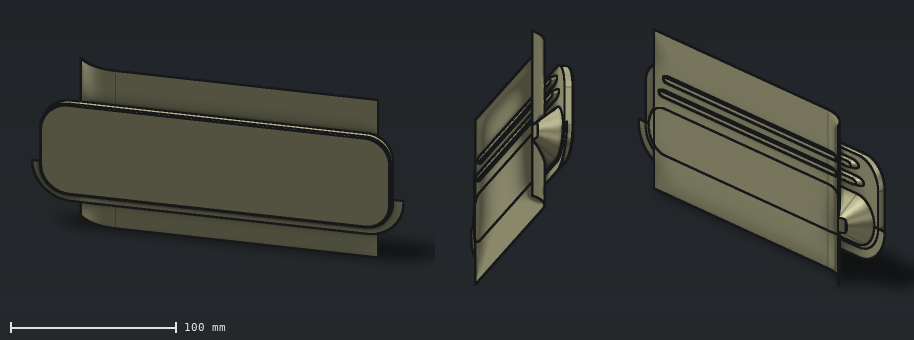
import cadquery as cq
import math

PLATE_LENGTH = 220.0
PLATE_HEIGHT = 60.0
PLATE_THICKNESS = 6.0
LEFT_CORNER_RADIUS = 18.0
RIGHT_CORNER_RADIUS = 16.0
PLATE_EDGE_CHAMFER = 1.0

SKIN = 0.2
FLANGE_OFFSET = 6.4
FLANGE_TOP_Z = LEFT_CORNER_RADIUS - PLATE_HEIGHT / 2

SHEET_LEFT_X = -90.0
SHEET_RIGHT_X = 100.0
SHEET_HEIGHT = 104.0
SHEET_FLAT_Y = 1.6
SHEET_TIP_Y = 14.9
BEND_START_X = -64.5

BODY_HALF_SPAN = 90.0
BODY_BASE_RADIUS = 16.5
BODY_TIP_RADIUS = 4.5
BODY_AXIS_Z = FLANGE_TOP_Z
BODY_TIP_DROP = 2.0

RIB_HEIGHT = 2.9
RIB_BASE_HALF_WIDTH = 3.0
RIB_TOP_HALF_WIDTH = 1.75
RIB_BASE_END = 8.0
RIB_TOP_END = 3.8
RIBS = [
    {"axis_z": 23.0, "left_x": -83.7, "right_x": 86.0},
    {"axis_z": 13.0, "left_x": -88.5, "right_x": 90.0},
]


def plane_at(y):
    """Workplane parallel to XZ at the given Y; local x, y are global X, Z, normal is -Y."""
    return cq.Workplane("XZ", origin=(0, y, 0))


def make_plate():
    return (
        plane_at(0)
        .rect(PLATE_LENGTH, PLATE_HEIGHT)
        .extrude(PLATE_THICKNESS)
        .edges("|Y and <X")
        .fillet(LEFT_CORNER_RADIUS)
        .edges("|Y and >X")
        .fillet(RIGHT_CORNER_RADIUS)
        .faces("<Y")
        .chamfer(PLATE_EDGE_CHAMFER)
    )


def make_flange():
    half_length = PLATE_LENGTH / 2 + FLANGE_OFFSET
    bottom = -PLATE_HEIGHT / 2 - FLANGE_OFFSET
    left_radius = LEFT_CORNER_RADIUS + FLANGE_OFFSET
    right_radius = RIGHT_CORNER_RADIUS + FLANGE_OFFSET
    return (
        plane_at(0)
        .moveTo(-half_length, FLANGE_TOP_Z)
        .radiusArc((-half_length + left_radius, bottom), -left_radius)
        .lineTo(half_length - right_radius, bottom)
        .radiusArc((half_length, bottom + right_radius), -right_radius)
        .lineTo(half_length, FLANGE_TOP_Z)
        .close()
        .extrude(-SKIN)
    )


def bend_geometry():
    """Radius and sweep of the arc that leaves the flat tangentially and ends at the tip."""
    run = BEND_START_X - SHEET_LEFT_X
    rise = SHEET_TIP_Y - SHEET_FLAT_Y
    radius = (run**2 + rise**2) / (2 * rise)
    return radius, math.asin(run / radius)


def bend_point(radius, angle):
    centre_y = SHEET_FLAT_Y + bend_geometry()[0]
    return BEND_START_X - radius * math.sin(angle), centre_y - radius * math.cos(angle)


def make_sheet():
    outer, sweep = bend_geometry()
    inner = outer - SKIN
    return (
        cq.Workplane("XY", origin=(0, 0, -SHEET_HEIGHT / 2))
        .moveTo(SHEET_RIGHT_X, SHEET_FLAT_Y)
        .lineTo(BEND_START_X, SHEET_FLAT_Y)
        .threePointArc(bend_point(outer, sweep / 2), bend_point(outer, sweep))
        .lineTo(*bend_point(inner, sweep))
        .threePointArc(bend_point(inner, sweep / 2), bend_point(inner, 0))
        .lineTo(SHEET_RIGHT_X, SHEET_FLAT_Y + SKIN)
        .close()
        .extrude(SHEET_HEIGHT)
    )


def make_body():
    """Drafted stadium, kept only where it lies between the plate and the sheet."""
    taper = math.degrees(math.atan((BODY_BASE_RADIUS - BODY_TIP_RADIUS) / SHEET_TIP_Y))
    drafted = (
        plane_at(0)
        .center(0, BODY_AXIS_Z)
        .slot2D(2 * (BODY_HALF_SPAN + BODY_BASE_RADIUS), 2 * BODY_BASE_RADIUS)
        .extrude(-SHEET_TIP_Y, taper=taper)
    )
    outer, sweep = bend_geometry()
    left = -BODY_HALF_SPAN - BODY_BASE_RADIUS
    right = -left
    tip_left = SHEET_LEFT_X - BODY_TIP_RADIUS
    under_sheet = (
        cq.Workplane("XY", origin=(0, 0, -SHEET_HEIGHT / 2))
        .moveTo(left, 0)
        .lineTo(right, 0)
        .lineTo(right, SHEET_FLAT_Y + SKIN / 2)
        .lineTo(*bend_point(outer - SKIN / 2, 0))
        .threePointArc(
            bend_point(outer - SKIN / 2, sweep / 2), bend_point(outer - SKIN / 2, sweep)
        )
        .lineTo(tip_left, SHEET_TIP_Y - BODY_TIP_DROP)
        .lineTo(left, SHEET_TIP_Y - BODY_TIP_DROP)
        .close()
        .extrude(SHEET_HEIGHT)
    )
    return drafted.intersect(under_sheet)


def rib_outline(workplane, left_x, right_x, half_width, end_length):
    """Long outline with straight sides and half-elliptical ends."""
    return (
        workplane.moveTo(left_x, -half_width)
        .lineTo(right_x, -half_width)
        .ellipseArc(end_length, half_width, -90, 90)
        .lineTo(left_x, half_width)
        .ellipseArc(end_length, half_width, 90, 270)
        .close()
    )


def make_rib(axis_z, left_x, right_x):
    base = plane_at(0).center(0, axis_z)
    outlined = rib_outline(base, left_x, right_x, RIB_BASE_HALF_WIDTH, RIB_BASE_END)
    top = outlined.workplane(offset=-RIB_HEIGHT, origin=(0, 0, axis_z))
    return rib_outline(top, left_x, right_x, RIB_TOP_HALF_WIDTH, RIB_TOP_END).loft(ruled=True)


result = make_plate().union(make_flange()).union(make_body()).union(make_sheet())
for rib in RIBS:
    result = result.union(make_rib(**rib))